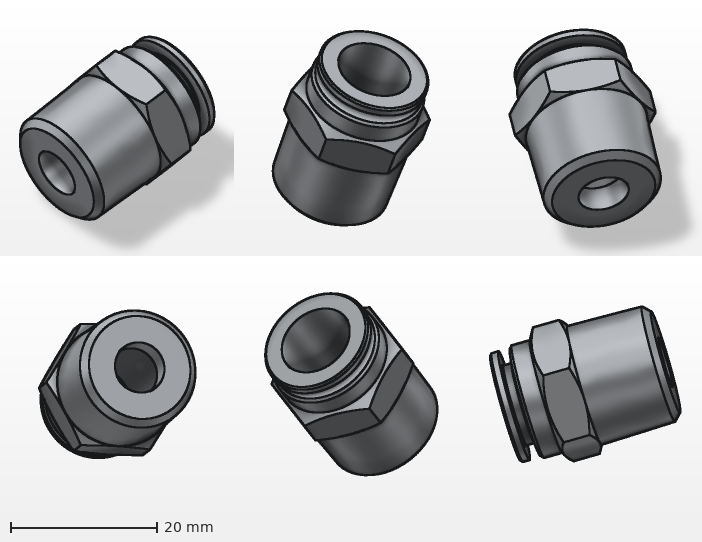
import cadquery as cq
import math

total_length = 22.8
thread_chamfer_length = 1.0
socket_start = 3.76
hex_start = 11.54
hex_end = 17.0
collar_chamfer_start = 19.59
collar_end = 20.0
neck_start = 20.3
neck_end = 21.43
ring_start = 21.6
ring_edge_chamfer = 0.27

hex_across_flats = 17.0
thread_tip_radius = 7.2
thread_small_radius = 8.2
thread_large_radius = 8.45
collar_radius = 8.03
collar_tip_radius = 7.62
neck_radius = 5.7
neck_flare_radius = 5.81
ring_radius = 7.75
passage_radius = 3.5
socket_radius = 5.13

hex_chamfer_angle = 30.0
hex_corner_radius = hex_across_flats / 2 / math.cos(math.radians(30))


def revolve_about_y(profile):
    """Revolve (radius, y) points, closed through the axis, about Y."""
    start = (0, profile[0][1])
    end = (0, profile[-1][1])
    outline = cq.Workplane("XY").polyline([start, *profile, end]).close()
    return outline.revolve(360, (0, 0, 0), (0, 1, 0))


def make_hexagon():
    """Hexagonal nut section with corners on X and cone-trimmed ends."""
    slope = math.tan(math.radians(hex_chamfer_angle))
    front_radius = hex_across_flats / 2
    front_depth = (hex_corner_radius - front_radius) * slope
    rear_depth = (hex_corner_radius - collar_radius) * slope
    prism = (
        cq.Workplane("XZ", origin=(0, hex_end, 0))
        .polygon(6, 2 * hex_corner_radius)
        .extrude(hex_end - hex_start)
    )
    trim = revolve_about_y([
        (front_radius, hex_start),
        (hex_corner_radius, hex_start + front_depth),
        (hex_corner_radius, hex_end - rear_depth),
        (collar_radius, hex_end),
    ])
    return prism.intersect(trim)


def make_turned_body():
    """Tapered thread, collar, neck and release ring in one revolution."""
    return revolve_about_y([
        (thread_tip_radius, 0),
        (thread_small_radius, thread_chamfer_length),
        (thread_large_radius, hex_start),
        (collar_radius, hex_start),
        (collar_radius, collar_chamfer_start),
        (collar_tip_radius, collar_end),
        (neck_radius, neck_start),
        (neck_radius, neck_end),
        (neck_flare_radius, ring_start),
        (ring_radius, ring_start),
        (ring_radius, total_length - ring_edge_chamfer),
        (ring_radius - ring_edge_chamfer, total_length),
    ])


def make_bore():
    """Flow passage at the threaded end opening into a wider tube socket."""
    return revolve_about_y([
        (passage_radius, 0),
        (passage_radius, socket_start),
        (socket_radius, socket_start),
        (socket_radius, total_length),
    ])


result = make_turned_body().union(make_hexagon()).cut(make_bore())